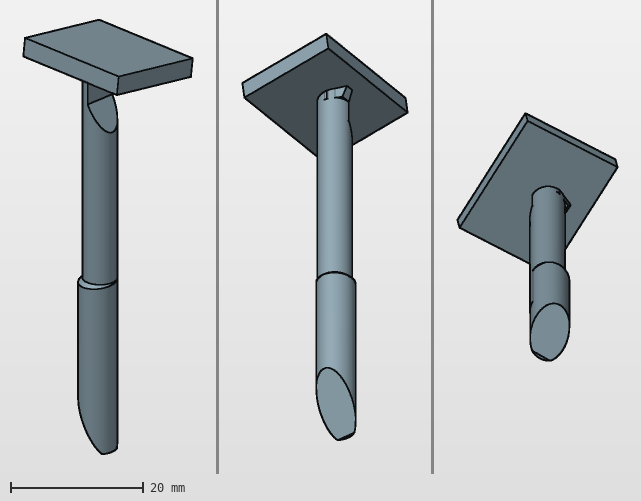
import cadquery as cq
import math


barrel_radius = 3.0
tip_flat = 0.45
bevel_angle = 60.0
bevel_slope = math.tan(math.radians(bevel_angle))

stem_radius = 2.65
stem_x = 0.1
stem_y = barrel_radius - stem_radius
shoulder_z = 28.0

half_cut_top_z = 57.5

overall_height = 66.4
plate_length_x = 20.0
plate_length_y = 16.0
plate_thickness = 3.0
plate_tilt = 7.5
plate_x = 0.05
plate_y = 2.1
tilt = math.radians(plate_tilt)
plate_rise = plate_length_y * math.sin(tilt) + plate_thickness * math.cos(tilt)
plate_z = overall_height - plate_rise / 2

gusset_foot_z = 61.1
gusset_overhang = 0.65
gusset_height = 2.0
gusset_flat = 1.3
gusset_back_y = -0.1


def tilted_block(thickness, center_offset):
    """Block with the plate's outline, offset along the plate's normal."""
    return (
        cq.Workplane("XY")
        .box(plate_length_x, plate_length_y, thickness)
        .translate((0, 0, center_offset))
        .rotate((0, 0, 0), (1, 0, 0), -plate_tilt)
        .translate((plate_x, plate_y, plate_z))
    )


def make_barrel():
    """Cylinder with a 45 degree shoulder around the stem and a beveled point."""
    barrel = cq.Workplane("XY").circle(barrel_radius).extrude(shoulder_z)
    cone_radius = 2 * barrel_radius
    shoulder = (
        cq.Workplane("XZ")
        .polyline([
            (0, 0),
            (cone_radius, 0),
            (cone_radius, shoulder_z - (cone_radius - stem_radius)),
            (stem_radius, shoulder_z),
            (0, shoulder_z),
        ])
        .close()
        .revolve(360, (0, 0, 0), (0, 1, 0))
        .translate((stem_x, stem_y, 0))
    )
    bevel_width = 2 * barrel_radius - tip_flat
    bevel = (
        cq.Workplane("XZ")
        .polyline([
            (-barrel_radius, 0),
            (bevel_width - barrel_radius, 0),
            (-barrel_radius, bevel_width * bevel_slope),
        ])
        .close()
        .extrude(barrel_radius, both=True)
    )
    return barrel.intersect(shoulder).cut(bevel)


def make_stem():
    """Round stem, cut to a half round above a bevel."""
    foot_z = shoulder_z / 2
    stem = (
        cq.Workplane("XY", origin=(stem_x, stem_y, foot_z))
        .circle(stem_radius)
        .extrude(overall_height - foot_z)
    )
    cut_right = stem_x + 2 * stem_radius
    half_cut = (
        cq.Workplane("XZ")
        .polyline([
            (stem_x, overall_height),
            (stem_x, half_cut_top_z),
            (cut_right, half_cut_top_z - 2 * stem_radius * bevel_slope),
            (cut_right, overall_height),
        ])
        .close()
        .extrude(2 * barrel_radius, both=True)
    )
    return stem.cut(half_cut)


def make_gusset():
    """Flared block with a beveled corner, running up into the plate."""
    stem_front_y = stem_y - stem_radius
    front_y = stem_front_y - gusset_overhang
    plan = (
        cq.Workplane("XY", origin=(0, 0, gusset_foot_z))
        .polyline([
            (stem_x, stem_y),
            (stem_x, front_y),
            (stem_x - gusset_flat, front_y),
            (stem_x - stem_radius, gusset_back_y),
            (stem_x - stem_radius, stem_y),
        ])
        .close()
        .extrude(overall_height - gusset_foot_z)
    )
    flare = (
        cq.Workplane("YZ")
        .polyline([
            (stem_y, gusset_foot_z),
            (stem_front_y, gusset_foot_z),
            (front_y, gusset_foot_z + gusset_height),
            (front_y, overall_height),
            (stem_y, overall_height),
        ])
        .close()
        .extrude(2 * barrel_radius, both=True)
    )
    return plan.intersect(flare)


def make_pin():
    """Barrel, stem and gusset, ending flat against the underside of the plate."""
    space_above = tilted_block(2 * plate_thickness, plate_thickness / 2)
    return make_barrel().union(make_stem()).union(make_gusset()).cut(space_above)


plate = tilted_block(plate_thickness, 0)
pin = make_pin()

result = cq.Compound.makeCompound([plate.val(), *pin.vals()])